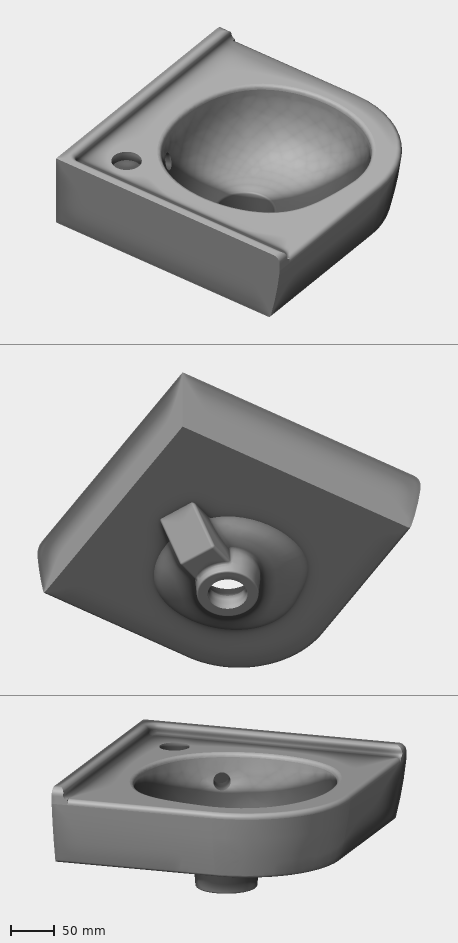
import cadquery as cq
import math


SIDE = 320.1
TOTAL_HEIGHT = 145.0
BODY_HEIGHT = 91.8
DECK_DROP = 12.5
CORNER_RADIUS = 125.5
BODY_BOTTOM = TOTAL_HEIGHT - BODY_HEIGHT
DECK_Z = TOTAL_HEIGHT - DECK_DROP
CORNER_CENTER = SIDE - CORNER_RADIUS

SIDE_BOTTOM_INSET = 13.6
SIDE_BULGE = 1.4
SIDE_BOTTOM_RADIUS = 4.0
DECK_EDGE_RADIUS = 5.8
SIDE_UPRIGHT = 6.3

RIDGE_WIDTH = 14.0
RIDGE_END_RADIUS = 9.0
RIDGE_CORNER_RADIUS = 8.0
RIDGE_TOP_RADIUS = 6.0
RIDGE_FOOT_RADIUS = 5.0

RIM_CENTER = 172.2
RIM_RADIUS = 120.4
RIM_RADIUS_FRONT = 126.0
RIM_RADIUS_BACK = 125.0
RIM_RADIUS_CROSS = 124.8
RIM_RADII = [
    RIM_RADIUS,
    RIM_RADIUS_FRONT,
    RIM_RADIUS,
    RIM_RADIUS_CROSS,
    RIM_RADIUS,
    RIM_RADIUS_BACK,
    RIM_RADIUS,
    RIM_RADIUS_CROSS,
]
LIP_RADIUS = 5.0
FLOOR_Z = 46.6
WALL = 10.0
UNDERSIDE_SHIFT = 2.5
BOWL_SECTIONS = 7
BOWL_FLOOR_RADIUS = 37.5

DRAIN_CENTER = 155.2
DRAIN_MOUTH_RADIUS = 34.5
DRAIN_MOUTH_FILLET = 3.0
DRAIN_DIAMETER = 46.0
DRAIN_CONE_END_Z = 22.0
SPIGOT_TOP_RADIUS = 38.5
SPIGOT_BOTTOM_RADIUS = 35.5
SPIGOT_EDGE_RADIUS = 2.0

TAP_HOLE_DIAMETER = 35.0
TAP_HOLE_DEPTH = 12.0
TAP_HOLE_CENTER = 58.0

OVERFLOW_ANGLE = 202.5
OVERFLOW_DIAMETER = 20.04
OVERFLOW_Z = 100.0
OVERFLOW_END = 120.0
DUCT_WIDTH = 49.0
DUCT_BOTTOM_Z = 12.5
DUCT_FOOT_REACH = 60.0
DUCT_SLOPE = 45.0
DUCT_EDGE_RADIUS = 3.5
UNDERSIDE_BLEND_RADIUS = 3.0

MARGIN = 0.5
TOLERANCE = 0.001
EDGE_SHARES = (0.2, 0.5, 0.8)


def side_section(start_x, top_z):
    """Vertical section in the XZ plane from start_x out to the curved side."""
    bottom_x = SIDE - SIDE_BOTTOM_INSET
    middle_x = SIDE - SIDE_BOTTOM_INSET / 2 + SIDE_BULGE
    curve_top_z = DECK_Z - SIDE_UPRIGHT
    middle_z = (curve_top_z + BODY_BOTTOM) / 2
    return (
        cq.Workplane("XZ")
        .moveTo(start_x, BODY_BOTTOM)
        .lineTo(bottom_x, BODY_BOTTOM)
        .threePointArc((middle_x, middle_z), (SIDE, curve_top_z))
        .lineTo(SIDE, top_z)
        .lineTo(start_x, top_z)
        .close()
    )


def swap_xy(shape):
    """Mirror a shape across the vertical plane X = Y."""
    return shape.mirror("XZ").rotate((0, 0, 0), (0, 0, 1), 90)


def make_block(top_z, top_radius):
    """Square block with one rounded corner, its free sides curved and rounded top and bottom."""
    arm = side_section(0, top_z).extrude(-CORNER_CENTER)
    for level, radius in ((">Z", top_radius), ("<Z", SIDE_BOTTOM_RADIUS)):
        arm = arm.faces(level).edges("|Y").edges(">X").fillet(radius)
    corner = (
        side_section(CORNER_CENTER, top_z)
        .revolve(90, (CORNER_CENTER, 0), (CORNER_CENTER, 1))
        .translate((0, CORNER_CENTER, 0))
    )
    for level, radius in ((">Z", top_radius), ("<Z", SIDE_BOTTOM_RADIUS)):
        corner = corner.faces(level).edges("%CIRCLE").fillet(radius)
    return corner.union(arm).union(swap_xy(arm))


def make_ridge():
    """Ridge along both walls, with a rounded top edge and a hollow fillet at its foot."""
    inner_side = (
        cq.Workplane("XY", origin=(RIDGE_WIDTH, RIDGE_WIDTH, DECK_Z))
        .rect(2 * SIDE, 2 * SIDE, centered=False)
        .extrude(DECK_DROP)
        .edges("|Z and <X and <Y")
        .fillet(RIDGE_CORNER_RADIUS)
        .faces("<Z")
        .edges()
        .fillet(RIDGE_FOOT_RADIUS)
    )
    foot_width = RIDGE_WIDTH + RIDGE_FOOT_RADIUS
    foot = (
        cq.Workplane("XY", origin=(foot_width, foot_width, 0))
        .rect(SIDE, SIDE, centered=False)
        .extrude(TOTAL_HEIGHT)
        .edges("|Z and <X and <Y")
        .fillet(RIDGE_CORNER_RADIUS - RIDGE_FOOT_RADIUS)
    )
    ridge = cq.Workplane("XY").rect(SIDE, SIDE, centered=False).extrude(TOTAL_HEIGHT).cut(inner_side)
    inner_top_edges = flat_ring_selector(RIDGE_WIDTH + SIDE / 2, SIDE / 2 + MARGIN, TOTAL_HEIGHT)
    ridge = ridge.edges(inner_top_edges).fillet(RIDGE_TOP_RADIUS)
    return ridge.cut(foot).intersect(make_block(TOTAL_HEIGHT, RIDGE_END_RADIUS))


def bowl_section(fraction, growth, z):
    """Closed curve between the drain circle (fraction 0) and the rim grown outwards (fraction 1)."""
    points = []
    for index, rim_radius in enumerate(RIM_RADII):
        angle = index * 2 * math.pi / len(RIM_RADII)
        radius = (1 - fraction) * BOWL_FLOOR_RADIUS + fraction * (rim_radius + growth)
        center = (1 - fraction) * DRAIN_CENTER + fraction * RIM_CENTER
        points.append((center + radius * math.cos(angle), center + radius * math.sin(angle), z))
    return cq.Wire.assembleEdges([cq.Edge.makeSpline([cq.Vector(*p) for p in points], periodic=True)])


def make_bowl(floor_z, growth):
    """Solid between floor and deck whose wall follows a quarter ellipse from drain to rim."""
    sections = []
    for index in range(BOWL_SECTIONS):
        angle = index / (BOWL_SECTIONS - 1) * math.pi / 2
        z = DECK_Z - (DECK_Z - floor_z) * math.cos(angle)
        sections.append(bowl_section(math.sin(angle), growth, z))
    return cq.Workplane(obj=cq.Solid.makeLoft(sections))


def aim_at_overflow(shape, z=0):
    """Turn a shape lying along +X to the overflow direction and move it to the drain axis."""
    return shape.rotate((0, 0, 0), (0, 0, 1), OVERFLOW_ANGLE).translate((DRAIN_CENTER, DRAIN_CENTER, z))


def make_spigot():
    """Slightly tapered outlet pipe, reaching up into the bowl shell."""
    taper_height = FLOOR_Z - WALL
    taper = math.degrees(math.atan((SPIGOT_TOP_RADIUS - SPIGOT_BOTTOM_RADIUS) / taper_height))
    height = FLOOR_Z - WALL / 2
    spigot = (
        cq.Workplane("XY", origin=(DRAIN_CENTER, DRAIN_CENTER, 0))
        .circle(SPIGOT_BOTTOM_RADIUS)
        .extrude(height, taper=-taper)
    )
    return spigot.faces("<Z").edges().fillet(SPIGOT_EDGE_RADIUS)


def make_duct():
    """Overflow duct: a box with a sloped end, running from the outlet up to the body."""
    rise = BODY_BOTTOM + WALL - DUCT_BOTTOM_Z
    top_reach = DUCT_FOOT_REACH + rise / math.tan(math.radians(DUCT_SLOPE))
    duct = (
        cq.Workplane("XZ")
        .polyline([
            (0, DUCT_BOTTOM_Z),
            (DUCT_FOOT_REACH, DUCT_BOTTOM_Z),
            (top_reach, DUCT_BOTTOM_Z + rise),
            (0, DUCT_BOTTOM_Z + rise),
        ])
        .close()
        .extrude(DUCT_WIDTH / 2, both=True)
    )
    duct = duct.faces("<Z or >X").edges("not(<X or >Z)").fillet(DUCT_EDGE_RADIUS)
    return aim_at_overflow(duct)


def make_drain():
    """Cone from the bowl floor narrowing to the straight outlet bore."""
    bore_radius = DRAIN_DIAMETER / 2
    return (
        cq.Workplane("XZ", origin=(DRAIN_CENTER, DRAIN_CENTER, 0))
        .polyline([
            (0, 0),
            (bore_radius, 0),
            (bore_radius, DRAIN_CONE_END_Z),
            (DRAIN_MOUTH_RADIUS, FLOOR_Z),
            (0, FLOOR_Z),
        ])
        .close()
        .revolve(360, (0, 0), (0, 1))
    )


def make_overflow_hole():
    """Level blind hole through the bowl wall, starting from the drain axis."""
    hole = cq.Workplane("YZ").circle(OVERFLOW_DIAMETER / 2).extrude(OVERFLOW_END)
    return aim_at_overflow(hole, OVERFLOW_Z)


def make_tap_hole():
    """Blind round hole in the deck near the wall corner."""
    return (
        cq.Workplane("XY", origin=(TAP_HOLE_CENTER, TAP_HOLE_CENTER, DECK_Z))
        .circle(TAP_HOLE_DIAMETER / 2)
        .extrude(-TAP_HOLE_DEPTH)
    )


def flat_ring_selector(center, reach, z):
    """Selects the edges at height z that stay within reach of a centre on the plane X = Y."""
    low = center - reach
    high = center + reach
    return cq.selectors.BoxSelector(
        (low, low, z - MARGIN), (high, high, z + MARGIN), boundingbox=True
    )


def touches(edge, part):
    """True if the whole edge lies on the surface of the part."""
    surface = cq.Compound.makeCompound(part.faces().vals())
    samples = [edge.positionAt(share) for share in EDGE_SHARES]
    return all(cq.Vertex.makeVertex(*point.toTuple()).distance(surface) < TOLERANCE for point in samples)


def make_underside():
    """Outer bowl shell, spigot and duct, with the seams between them filleted."""
    bowl = make_bowl(FLOOR_Z - WALL, WALL - LIP_RADIUS)
    bowl = bowl.translate((UNDERSIDE_SHIFT, UNDERSIDE_SHIFT, 0))
    parts = [bowl, make_spigot(), make_duct()]
    joined = parts[0].union(parts[1]).union(parts[2])
    seams = [
        edge
        for edge in joined.edges().vals()
        if sum(touches(edge, part) for part in parts) > 1
    ]
    return joined.newObject(seams).fillet(UNDERSIDE_BLEND_RADIUS)


def make_basin():
    """Complete basin: outer shape, then bowl with its rounded lip, then the holes."""
    bowl_rim = flat_ring_selector(RIM_CENTER, RIM_RADIUS_FRONT, DECK_Z)
    drain_mouth = flat_ring_selector(DRAIN_CENTER, DRAIN_MOUTH_RADIUS + MARGIN, FLOOR_Z)
    outside = make_block(DECK_Z, DECK_EDGE_RADIUS).union(make_ridge()).union(make_underside())
    basin = outside.cut(make_bowl(FLOOR_Z, -LIP_RADIUS))
    basin = basin.edges(bowl_rim).fillet(LIP_RADIUS)
    basin = basin.cut(make_drain())
    basin = basin.edges(drain_mouth).fillet(DRAIN_MOUTH_FILLET)
    return basin.cut(make_tap_hole()).cut(make_overflow_hole())


result = make_basin()